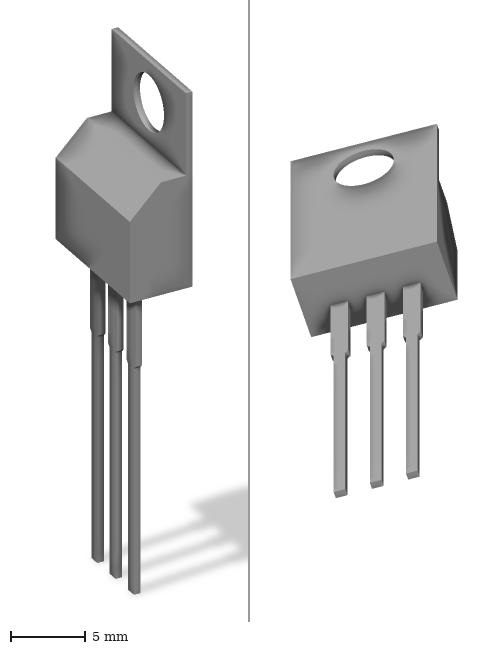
import cadquery as cq

total_height = 38.8
package_width = 10.3
package_depth = 4.8

tab_height = 6.32
tab_thickness = 0.5
hole_diameter = 4.23
hole_drop = 3.2

housing_height = 8.65
housing_bevel = package_depth / 2

lead_span = 5.1
lead_count = 3
lead_pitch = lead_span / (lead_count - 1)
lead_thickness = 0.5
lead_setback = 3.03
shoulder_width = 1.25
shoulder_length = 6.48
leg_width = 0.8
taper_height = 0.25

back_y = package_depth / 2
front_y = -package_depth / 2
housing_top = total_height - tab_height
housing_bottom = housing_top - housing_height
lead_y = back_y - lead_setback


def make_housing():
    """Side profile extruded across the package width."""
    return (
        cq.Workplane("YZ")
        .moveTo(back_y, housing_bottom)
        .lineTo(back_y, housing_top)
        .lineTo(front_y + housing_bevel, housing_top)
        .lineTo(front_y, housing_top - housing_bevel)
        .lineTo(front_y, housing_bottom)
        .close()
        .extrude(package_width / 2, both=True)
    )


def make_tab():
    """Flat plate standing on the housing, with a round mounting hole."""
    hole_z = total_height - hole_drop
    plate = (
        cq.Workplane("XZ", origin=(0, back_y, 0))
        .center(0, housing_top + tab_height / 2)
        .rect(package_width, tab_height)
        .extrude(tab_thickness)
    )
    hole = (
        cq.Workplane("XZ", origin=(0, back_y, 0))
        .center(0, hole_z)
        .circle(hole_diameter / 2)
        .extrude(tab_thickness)
    )
    return plate.cut(hole)


def make_lead(x):
    """Stepped flat lead centred at x, hanging from the underside of the housing."""
    taper_bottom = housing_bottom - shoulder_length
    taper_top = taper_bottom + taper_height
    return (
        cq.Workplane("XZ", origin=(x, lead_y, 0))
        .moveTo(-shoulder_width / 2, housing_bottom)
        .lineTo(shoulder_width / 2, housing_bottom)
        .lineTo(shoulder_width / 2, taper_top)
        .lineTo(leg_width / 2, taper_bottom)
        .lineTo(leg_width / 2, 0)
        .lineTo(-leg_width / 2, 0)
        .lineTo(-leg_width / 2, taper_bottom)
        .lineTo(-shoulder_width / 2, taper_top)
        .close()
        .extrude(lead_thickness / 2, both=True)
    )


housing = make_housing()
tab = make_tab()

leads = []
for index in range(lead_count):
    lead_x = index * lead_pitch - lead_span / 2
    leads.append(make_lead(lead_x).val())

result = cq.Compound.makeCompound([housing.val(), tab.val(), *leads])